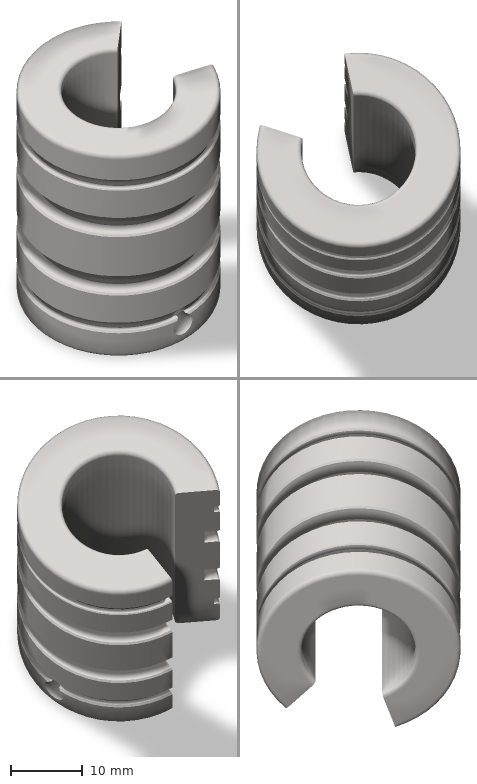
import cadquery as cq
import math

length = 37.9
outer_radius = 28.55 / 2
liner_outer_radius = 8.6
liner_wall = 0.6
liner_bore_radius = liner_outer_radius - liner_wall

end_rounding = 0.65

retaining_groove_bottom = 4.8
retaining_groove_top = 6.35
retaining_groove_radius = 13.42
seal_groove_bottom = 11.9
seal_groove_top = 15.0
seal_groove_radius = 12.15
edge_chamfer = 0.25
fine_edge_chamfer = 0.15

slot_half_angle = math.radians(30)
slot_apex_y = -1.82
slot_reach = 2 * outer_radius

hole_radius = 1.7
hole_height = 3.25
hole_angle = -15.0


def groove(bottom, top, radius, lower_chamfer, upper_chamfer):
    """Cutter for a groove with chamfered lower and upper mouth edges."""
    return (
        cq.Workplane("XZ")
        .moveTo(radius, bottom)
        .lineTo(outer_radius - lower_chamfer, bottom)
        .lineTo(outer_radius, bottom - lower_chamfer)
        .lineTo(outer_radius, top + upper_chamfer)
        .lineTo(outer_radius - upper_chamfer, top)
        .lineTo(radius, top)
        .close()
        .revolve(360, (0, 0, 0), (0, 1, 0))
    )


def slot():
    """Wedge cutter that opens the bearing toward +Y along its whole length."""
    half_width = slot_reach * math.tan(slot_half_angle)
    return (
        cq.Workplane("XY")
        .moveTo(0, slot_apex_y)
        .lineTo(half_width, slot_apex_y + slot_reach)
        .lineTo(-half_width, slot_apex_y + slot_reach)
        .close()
        .extrude(length)
    )


def side_hole():
    """Radial cylinder from the axis out past the housing."""
    angle = math.radians(hole_angle)
    plane = cq.Plane(
        origin=(0, 0, hole_height),
        xDir=(-math.sin(angle), math.cos(angle), 0),
        normal=(math.cos(angle), math.sin(angle), 0),
    )
    return cq.Workplane(plane).circle(hole_radius).extrude(slot_reach)


def make_housing():
    """Grooved outer body with rounded ends, slot and radial hole."""
    body = (
        cq.Workplane("XY")
        .circle(outer_radius)
        .extrude(length)
        .edges()
        .fillet(end_rounding)
    )
    bore = cq.Workplane("XY").circle(liner_outer_radius).extrude(length)
    body = body.cut(bore)
    retaining_groove = groove(
        retaining_groove_bottom,
        retaining_groove_top,
        retaining_groove_radius,
        edge_chamfer,
        fine_edge_chamfer,
    )
    seal_groove = groove(
        seal_groove_bottom, seal_groove_top, seal_groove_radius, edge_chamfer, edge_chamfer
    )
    for cutter in (retaining_groove, seal_groove):
        mirrored_cutter = cutter.mirror("XY", (0, 0, length / 2))
        body = body.cut(cutter).cut(mirrored_cutter)
    return body.cut(slot()).cut(side_hole())


def make_liner():
    """Thin sleeve whose ends round over the whole wall thickness."""
    round_over = liner_wall * (1 - math.sqrt(0.5))
    body = (
        cq.Workplane("XZ")
        .moveTo(liner_outer_radius, 0)
        .lineTo(liner_outer_radius, length)
        .threePointArc(
            (liner_bore_radius + round_over, length - round_over),
            (liner_bore_radius, length - liner_wall),
        )
        .lineTo(liner_bore_radius, liner_wall)
        .threePointArc((liner_bore_radius + round_over, round_over), (liner_outer_radius, 0))
        .close()
        .revolve(360, (0, 0, 0), (0, 1, 0))
    )
    return body.cut(slot())


housing = make_housing()
liner = make_liner()
result = cq.Compound.makeCompound([*housing.solids().vals(), *liner.solids().vals()])